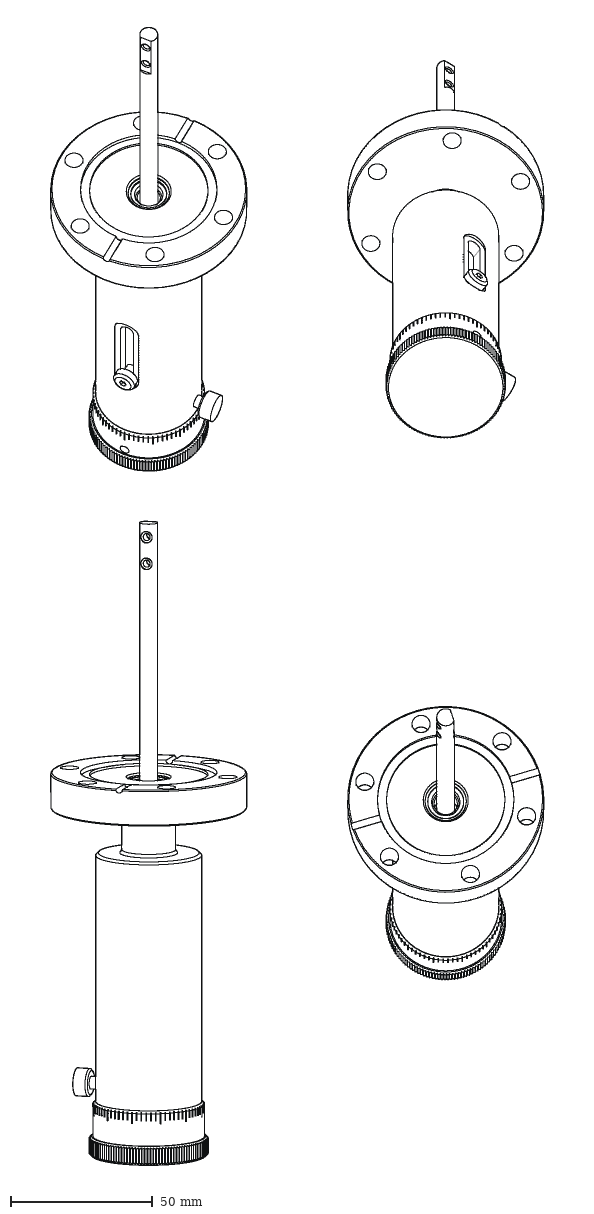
import cadquery as cq
import math

total_height = 227.3

grip_radius = 21.1
grip_height = 6.8
grip_chamfer = 1.0
knurl_depth = 0.5
knurl_teeth = 120

thimble_radius = 19.8
thimble_top = 19.3
thimble_bevel = 1.0
mark_count = 72
marks_per_long = 6
mark_width = 0.2
mark_depth = 0.2
short_mark_bottom = 16.0
long_mark_bottom = 14.8
set_screw_diameter = 3.5
set_screw_z = 9.0
set_screw_depth = 2.3

body_radius = 18.75
body_top = 108.6
body_chamfer = 1.0
neck_radius = 9.5
weld_width = 0.7
weld_height = 1.1

flange_radius = 34.66
flange_thickness = 13.0
flange_top = 137.5
flange_chamfer = 0.5
bolt_count = 6
bolt_circle_radius = 29.3
bolt_hole_diameter = 6.4
recess_radius = 24.0
recess_depth = 1.5
knife_radius = 21.0
knife_tip_depth = 0.7
leak_groove_diameter = 2.5

mouth_radius = 8.0
throat_radius = 6.4
counterbore_radius = 5.0
counterbore_taper = 0.35
bore_radius = 4.0
mouth_bevel = 0.7
throat_depth = 1.1
counterbore_shelf = 1.8
counterbore_depth = 3.6
bore_depth = 11.4

rod_radius = 3.2
flat_depth = 0.8
flat_length = 18.9
rod_hole_diameter = 2.5
rod_hole_sink_diameter = 3.5
rod_back_counterbore_diameter = 4.0
first_hole_from_tip = 4.8
rod_hole_spacing = 9.5

slot_width = 9.3
slot_bottom = 43.9
slot_length = 36.5
slot_floor_radius = 17.7
inner_slot_width = 5.0
inner_slot_end_gap = 2.7
inner_slot_floor_radius = 13.6
indicator_z = 49.0
indicator_diameter = 8.2
indicator_shank_diameter = 4.0
indicator_face_radius = 21.1
indicator_chamfer = 1.0
socket_diameter = 2.5
socket_depth = 1.1

thumb_z = 24.8
thumb_shaft_diameter = 4.5
thumb_head_diameter = 10.0
thumb_head_start = 21.4
thumb_head_end = 26.5
thumb_chamfer = 0.7

flange_bottom = flange_top - flange_thickness
slot_middle = slot_bottom + slot_length / 2


def cylinder(radius, bottom, top):
    """Cylinder on the part axis between two heights."""
    return cq.Workplane("XY").workplane(offset=bottom).circle(radius).extrude(top - bottom)


def side_plane(distance, height):
    """Plane facing -Y at the given distance from the axis."""
    return cq.Workplane(cq.Plane((0, -distance, height), (1, 0, 0), (0, -1, 0)))


def make_grip():
    """Straight-knurled ring with bevelled rims."""
    points = []
    for i in range(2 * knurl_teeth):
        radius = grip_radius - knurl_depth * (i % 2)
        angle = math.pi * i / knurl_teeth
        points.append((radius * math.cos(angle), radius * math.sin(angle)))
    teeth = cq.Workplane("XY").polyline(points).close().extrude(grip_height)
    envelope = cylinder(grip_radius, 0, grip_height).edges().chamfer(grip_chamfer)
    return teeth.intersect(envelope)


def make_thimble():
    """Sleeve with a bevelled top rim."""
    return cylinder(thimble_radius, 0, thimble_top).faces(">Z").edges().chamfer(thimble_bevel)


def make_marks():
    """Graduation grooves around the top of the thimble."""
    marks = cq.Workplane("XY")
    groove_floor = thimble_radius - mark_depth
    for i in range(mark_count):
        bottom = short_mark_bottom if i % marks_per_long else long_mark_bottom
        mark = (
            cq.Workplane("XY", origin=(0, 0, bottom))
            .center((groove_floor + thimble_radius) / 2, 0)
            .rect(2 * mark_depth, mark_width)
            .extrude(thimble_top - bottom)
            .rotate((0, 0, 0), (0, 0, 1), 360 * i / mark_count)
        )
        marks = marks.add(mark)
    return marks.combine()


def make_body():
    """Main barrel, neck and the weld bead between them."""
    barrel = cylinder(body_radius, 0, body_top).faces(">Z").edges().chamfer(body_chamfer)
    neck = cylinder(neck_radius, body_top, flange_bottom)
    weld = (
        cq.Workplane("XZ", origin=(0, 0, body_top))
        .lineTo(neck_radius + weld_width, 0)
        .lineTo(neck_radius, weld_height)
        .lineTo(0, weld_height)
        .close()
        .revolve(360, (0, 0, 0), (0, 1, 0))
    )
    return barrel.union(neck).union(weld)


def make_flange():
    """Bolted flange with a recessed knife edge, leak-check grooves and a stepped rod opening."""
    flange = cylinder(flange_radius, flange_bottom, flange_top).edges().chamfer(flange_chamfer)
    recess_floor = flange_top - recess_depth
    recess = cylinder(recess_radius, recess_floor, flange_top)
    knife = (
        cq.Workplane("XZ")
        .moveTo(knife_radius, recess_floor)
        .lineTo(recess_radius, recess_floor)
        .lineTo(knife_radius, flange_top - knife_tip_depth)
        .close()
        .revolve(360, (0, 0, 0), (0, 1, 0))
    )
    bolt_holes = (
        cq.Workplane("XY", origin=(0, 0, flange_bottom))
        .polarArray(bolt_circle_radius, 0, 360, bolt_count)
        .circle(bolt_hole_diameter / 2)
        .extrude(flange_thickness)
    )
    groove_plane = cq.Plane((0, -flange_radius, flange_top), (0, 0, 1), (0, -1, 0))
    leak_grooves = (
        cq.Workplane(groove_plane)
        .circle(leak_groove_diameter / 2)
        .extrude(-2 * flange_radius)
    )
    flange = flange.cut(recess).cut(leak_grooves).cut(bolt_holes).union(knife)

    mouth = (
        cq.Workplane("XZ", origin=(0, 0, recess_floor))
        .moveTo(0, 0)
        .lineTo(mouth_radius, 0)
        .lineTo(mouth_radius - mouth_bevel, -mouth_bevel)
        .lineTo(mouth_radius - mouth_bevel, -throat_depth)
        .lineTo(throat_radius, -throat_depth)
        .lineTo(throat_radius, -counterbore_shelf)
        .lineTo(counterbore_radius, -counterbore_shelf)
        .lineTo(counterbore_radius - counterbore_taper, -counterbore_depth)
        .lineTo(bore_radius, -counterbore_depth)
        .lineTo(bore_radius, -bore_depth)
        .lineTo(0, -bore_depth)
        .close()
        .revolve(360, (0, 0, 0), (0, 1, 0))
    )
    return flange.cut(mouth)


def make_rod():
    """Central rod with two cross holes through the flat near its tip."""
    rod = cylinder(rod_radius, body_top, total_height)
    flat_distance = rod_radius - flat_depth
    rod = rod.cut(
        side_plane(flat_distance, total_height - flat_length / 2)
        .rect(2 * rod_radius, flat_length)
        .extrude(rod_radius)
    )
    sink_depth = (rod_hole_sink_diameter - rod_hole_diameter) / 2
    back_rim = math.sqrt(rod_radius**2 - (rod_back_counterbore_diameter / 2) ** 2)
    for i in range(2):
        hole_z = total_height - first_hole_from_tip - i * rod_hole_spacing
        hole = side_plane(rod_radius, hole_z).circle(rod_hole_diameter / 2).extrude(-2 * rod_radius)
        sink = (
            side_plane(flat_distance, hole_z)
            .circle(rod_hole_sink_diameter / 2)
            .workplane(offset=-sink_depth)
            .circle(rod_hole_diameter / 2)
            .loft()
        )
        back_counterbore = (
            side_plane(-back_rim, hole_z)
            .circle(rod_back_counterbore_diameter / 2)
            .extrude(-rod_radius)
        )
        rod = rod.cut(hole).cut(sink).cut(back_counterbore)
    return rod


def cut_guide_slot(part):
    """Cut a shallow slot with a narrower, deeper slot inside it."""
    outer = (
        side_plane(slot_floor_radius, slot_middle)
        .slot2D(slot_length, slot_width, 90)
        .extrude(body_radius)
    )
    inner = (
        side_plane(inner_slot_floor_radius, slot_middle)
        .slot2D(slot_length - 2 * inner_slot_end_gap, inner_slot_width, 90)
        .extrude(body_radius)
    )
    return part.cut(outer).cut(inner)


def make_indicator():
    """Socket-head indicator screw resting at the lower end of the slot."""
    head = (
        side_plane(slot_floor_radius, indicator_z)
        .circle(indicator_diameter / 2)
        .extrude(indicator_face_radius - slot_floor_radius)
        .faces("<Y")
        .edges()
        .chamfer(indicator_chamfer)
    )
    shank = (
        side_plane(inner_slot_floor_radius, indicator_z)
        .circle(indicator_shank_diameter / 2)
        .extrude(slot_floor_radius - inner_slot_floor_radius)
    )
    socket = (
        side_plane(indicator_face_radius, indicator_z)
        .polygon(6, socket_diameter)
        .extrude(-socket_depth)
    )
    return head.cut(socket).union(shank)


def make_thumb_screw():
    """Locking screw with a wide round head."""
    start = cq.Workplane("YZ").center(0, thumb_z)
    shaft = start.circle(thumb_shaft_diameter / 2).extrude(thumb_head_end)
    head = (
        start.workplane(offset=thumb_head_start)
        .circle(thumb_head_diameter / 2)
        .extrude(thumb_head_end - thumb_head_start)
        .faces("<X")
        .edges()
        .chamfer(thumb_chamfer)
    )
    return shaft.union(head)


set_screw_hole = (
    side_plane(thimble_radius, set_screw_z)
    .circle(set_screw_diameter / 2)
    .extrude(-set_screw_depth)
)
thimble = make_thimble().cut(set_screw_hole).cut(make_marks())
body = cut_guide_slot(make_body()).union(make_indicator())
result = body.cut(set_screw_hole).union(thimble)
result = result.union(make_grip()).union(make_flange()).union(make_rod()).union(make_thumb_screw())